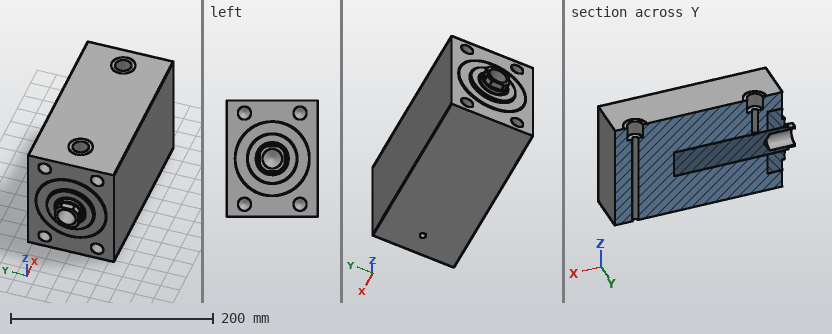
import cadquery as cq
import math

overall_length = 191.5

block_length = 178.0
block_width = 90.0
block_height = 115.0
block_edge_chamfer = 0.5

mount_spacing_y = 55.0
mount_spacing_z = 90.0
mount_diameter = 13.0
mount_depth = 26.8

front_port_x = 29.1
rear_port_x = 156.5
spotface_diameter = 24.0
spotface_depth = 0.2
port_diameter = 16.0
port_depth = 15.3
oil_hole_diameter = 6.0

flange_diameter = 74.1
flange_depth = 15.3
flange_chamfer = 0.8
nose_diameter = 50.0
nose_length = 2.7
nose_chamfer_length = 1.1
nose_chamfer_height = 1.0
wiper_mouth_diameter = 32.7
wiper_bottom_diameter = 30.8
wiper_recess_depth = 1.0

rod_diameter = 28.0
rod_inner_length = 114.9
rod_shoulder_chamfer_length = 0.8
rod_shoulder_chamfer_height = 0.4
tip_length = 6.9
tip_diameter = 27.2
flat_spacing = 24.0
rod_hole_diameter = 19.3
rod_hole_depth = 26.8

drill_point_angle = 118.0

rod_front_x = block_length - overall_length
rod_shoulder_x = rod_front_x + tip_length


def cylinder_x(diameter, start, end):
    """Solid cylinder on the X axis between two X positions."""
    return cq.Workplane("YZ", origin=(start, 0, 0)).circle(diameter / 2).extrude(end - start)


def cylinder_down(diameter, x, depth):
    """Solid vertical cylinder that reaches down from the top face of the block."""
    return cq.Workplane("XY", origin=(x, 0, block_height / 2)).circle(diameter / 2).extrude(-depth)


def drilled_hole(diameter, start, depth):
    """Cutter on the X axis for a blind hole with a conical drill point."""
    radius = diameter / 2
    point_length = radius / math.tan(math.radians(drill_point_angle / 2))
    outline = cq.Workplane("XY").polyline(
        [
            (start, 0),
            (start, radius),
            (start + depth, radius),
            (start + depth + point_length, 0),
        ]
    )
    return outline.close().revolve(360, (0, 0, 0), (1, 0, 0))


def make_ports():
    """Cutter for both oil ports; the front one ends at the rod, the rear one goes through the block."""
    front_port_depth = block_height / 2
    cutter = cylinder_down(oil_hole_diameter, front_port_x, front_port_depth)
    cutter = cutter.union(cylinder_down(oil_hole_diameter, rear_port_x, block_height))
    for x in (front_port_x, rear_port_x):
        cutter = cutter.union(cylinder_down(port_diameter, x, port_depth))
        cutter = cutter.union(cylinder_down(spotface_diameter, x, spotface_depth))
    return cutter


def make_block():
    block = cq.Workplane("XY").box(block_length, block_width, block_height, centered=(False, True, True))
    block = block.edges("|X").chamfer(block_edge_chamfer)
    mount_hole = drilled_hole(mount_diameter, 0, mount_depth)
    for side_y in (-1, 1):
        for side_z in (-1, 1):
            offset = (0, side_y * mount_spacing_y / 2, side_z * mount_spacing_z / 2)
            block = block.cut(mount_hole.translate(offset))
    block = block.cut(make_ports())
    block = block.cut(cylinder_x(flange_diameter, 0, flange_depth))
    return block.cut(cylinder_x(rod_diameter, 0, rod_inner_length))


def make_gland():
    flange = cylinder_x(flange_diameter, 0, flange_depth).faces("<X").chamfer(flange_chamfer)
    nose = cylinder_x(nose_diameter, -nose_length, 0)
    nose = nose.faces("<X").chamfer(nose_chamfer_length, nose_chamfer_height)
    wiper_recess = (
        cq.Workplane("YZ", origin=(-nose_length, 0, 0))
        .circle(wiper_mouth_diameter / 2)
        .workplane(offset=wiper_recess_depth)
        .circle(wiper_bottom_diameter / 2)
        .loft(ruled=True)
    )
    gland = flange.union(nose).cut(wiper_recess)
    return gland.cut(cylinder_x(rod_diameter, -nose_length, flange_depth))


def make_rod():
    shaft = cylinder_x(rod_diameter, rod_shoulder_x, rod_inner_length)
    shaft = shaft.faces("<X").chamfer(rod_shoulder_chamfer_length, rod_shoulder_chamfer_height)
    flats = cq.Workplane("YZ", origin=(rod_front_x, 0, 0)).rect(flat_spacing, flat_spacing).extrude(tip_length)
    tip = cylinder_x(tip_diameter, rod_front_x, rod_shoulder_x).intersect(flats)
    rod = shaft.union(tip)
    return rod.cut(drilled_hole(rod_hole_diameter, rod_front_x, rod_hole_depth))


block = make_block()
gland = make_gland()
rod = make_rod()

result = cq.Compound.makeCompound([block.val(), gland.val(), rod.val()])